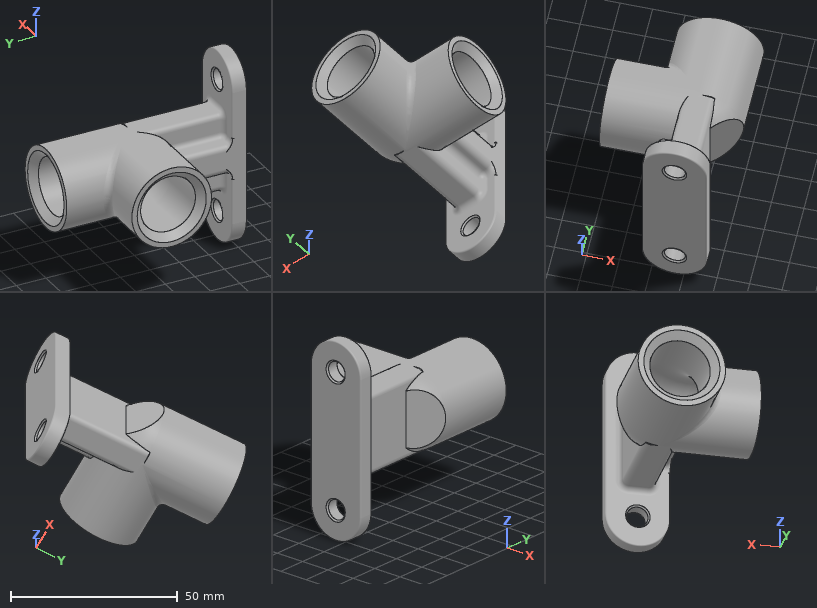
import cadquery as cq
import math

tube_diameter = 27.0
tube_radius = tube_diameter / 2
tube_length_x = 27.95
tube_length_y = 28.0
bore_diameter = 18.6
mouth_diameter = 23.4
bend_radius = 10.0
mouth_depth = (mouth_diameter - bore_diameter) / 2
crotch_round = 2.0

plate_height = 65.0
plate_width = 20.0
plate_thickness = 5.0
plate_front_y = -35.0
plate_back_y = plate_front_y + plate_thickness
edge_round = 0.5
hole_diameter = 6.5
hole_spacing = plate_height - plate_width

web_half_width = plate_width / 4
rib_half_height = web_half_width
web_half_height = 13.45
rib_outer_x = -plate_width / 2
stem_round = 2.0


def make_outer_corner():
    """Ball between the tubes, cut flat at 45 degrees."""
    wedge = (
        cq.Workplane("XY")
        .polyline([(0, 0), (tube_radius, 0), (0, -tube_radius)])
        .close()
        .extrude(tube_radius, both=True)
    )
    return cq.Workplane("XY").sphere(tube_radius).intersect(wedge)


def make_tubes():
    tube_x = cq.Workplane("YZ").circle(tube_radius).extrude(-tube_length_x)
    tube_y = cq.Workplane("XZ").circle(tube_radius).extrude(-tube_length_y)
    tubes = tube_x.union(tube_y)
    crotch = cq.selectors.BoxSelector(
        (-tube_radius, 0.1 * tube_radius, -tube_radius),
        (-0.1 * tube_radius, tube_radius, tube_radius),
    )
    return tubes.edges(crotch).fillet(crotch_round).union(make_outer_corner())


def make_bore():
    """Bent bore through both tubes, with flared mouths."""
    bore_radius = bore_diameter / 2
    bend = (
        cq.Workplane("YZ", origin=(-bend_radius, 0, 0))
        .circle(bore_radius)
        .revolve(90, (bend_radius, 0), (bend_radius, 1))
    )
    bore = bend
    for plane, length in (("YZ", tube_length_x), ("XZ", tube_length_y)):
        straight = (
            cq.Workplane(plane)
            .workplane(offset=-bend_radius)
            .circle(bore_radius)
            .extrude(bend_radius - length)
        )
        mouth = (
            cq.Workplane(plane)
            .workplane(offset=-length)
            .circle(mouth_diameter / 2)
            .workplane(offset=mouth_depth)
            .circle(bore_radius)
            .loft()
        )
        bore = bore.union(straight).union(mouth)
    return bore


def make_stem():
    stem_length = -plate_front_y
    web = cq.Workplane("XZ").rect(2 * web_half_width, 2 * web_half_height).extrude(stem_length)
    rib = (
        cq.Workplane("XZ")
        .center(rib_outer_x / 2, 0)
        .rect(-rib_outer_x, 2 * rib_half_height)
        .extrude(stem_length)
    )
    return web.union(rib).edges("|Y").fillet(stem_round)


def make_plate_blank(start_y, length):
    """Prism with the plate's outline, running from start_y toward -Y."""
    return cq.Workplane("XZ", origin=(0, start_y, 0)).slot2D(plate_height, plate_width, 90).extrude(length)


def make_rooted_stem():
    """Stem that flares into the plate face, trimmed to the plate outline."""
    base = (
        cq.Workplane("XZ", origin=(0, plate_back_y, 0))
        .rect(2 * plate_width, plate_height)
        .extrude(plate_thickness)
    )
    root_edges = cq.selectors.BoxSelector(
        (-0.75 * plate_width, plate_back_y - stem_round / 2, -0.4 * plate_height),
        (0.75 * plate_width, plate_back_y + stem_round / 2, 0.4 * plate_height),
    )
    flared = base.union(make_stem()).edges(root_edges).fillet(stem_round)
    return flared.intersect(make_plate_blank(0, -plate_back_y))


def make_foot():
    """Plate with rounded rims, except where the rib runs flush into its side."""
    plate = make_plate_blank(plate_back_y, plate_thickness).faces("<Y or >Y").edges().fillet(edge_round)
    flush_height = 2 * (rib_half_height + stem_round)
    flush_pad = (
        cq.Workplane("XZ", origin=(rib_outer_x / 2, plate_back_y, 0))
        .rect(-rib_outer_x, flush_height)
        .extrude(plate_thickness / 2)
    )
    return plate.union(flush_pad).union(make_rooted_stem())


def make_screw_holes():
    side = hole_diameter / 2
    profile = [
        (0, 0),
        (side + edge_round, 0),
        (side, edge_round),
        (side, plate_thickness - edge_round),
        (side + edge_round, plate_thickness),
        (0, plate_thickness),
    ]
    hole = cq.Workplane("XY").polyline(profile).close().revolve(360, (0, 0), (0, 1))
    upper = hole.translate((0, plate_front_y, hole_spacing / 2))
    lower = hole.translate((0, plate_front_y, -hole_spacing / 2))
    return upper.union(lower)


result = make_tubes().union(make_foot()).cut(make_bore()).cut(make_screw_holes())